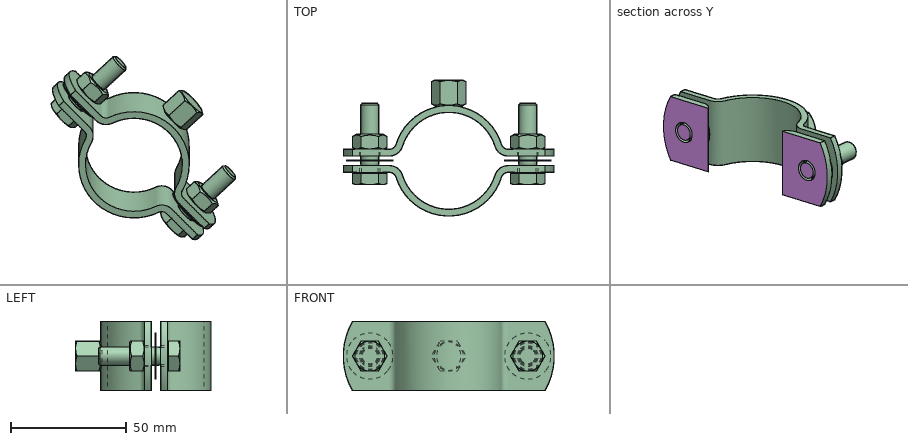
import cadquery as cq
import math

total_length = 91.5
strap_width = 30.0
strap_thickness = 3.0
ear_gap = 4.0
ring_outer_radius = 24.0
ring_inner_radius = ring_outer_radius - strap_thickness
ear_inner_y = ear_gap / 2
ear_outer_y = ear_inner_y + strap_thickness
ear_end_radius = strap_width

bend_inner_radius = 3.0
bend_outer_radius = bend_inner_radius + strap_thickness
bend_center_y = ear_outer_y + bend_inner_radius
bend_center_distance = ring_outer_radius + bend_inner_radius
bend_center_x = math.sqrt(bend_center_distance**2 - bend_center_y**2)

bolt_x = 34.2
bolt_hole_diameter = 9.0
bolt_diameter = 8.0
bolt_neck_diameter = 7.3
bolt_tip_diameter = 6.7
bolt_length = 30.0
bolt_tip_chamfer = 0.8
thread_start_y = -1.2
thread_runout = 1.1
head_height = 5.3
head_collar_diameter = 11.4
head_collar_height = 0.4

hex_across_flats = 13.0
hex_chamfer_angle = 30.0
hex_corner_clearance = 0.9
nut_height = 6.5
nut_bottom_diameter = 12.5
nut_top_diameter = 11.6
boss_top_y = 34.95
boss_top_diameter = 12.5
boss_base_y = 23.0
boss_base_diameter = 9.0

washer_diameter = 20.0
washer_thickness = 0.5
washer_start_y = 0.0


def cylinder_along_y(diameter, start_y, end_y):
    """Cylinder on the Y axis between two Y positions."""
    return cq.Workplane("XZ", origin=(0, start_y, 0)).circle(diameter / 2).extrude(start_y - end_y)


def hex_along_y(start_y, end_y, start_diameter=None, end_diameter=None):
    """Hexagon on the Y axis with corners pointing along X.

    A given end diameter is the circle left on that face by conical chamfering of the corners.
    """
    across_corners = hex_across_flats / math.cos(math.pi / 6)
    body = cq.Workplane("XZ", origin=(0, start_y, 0)).polygon(6, across_corners).extrude(start_y - end_y)
    corner_radius = across_corners / 2
    clear_radius = corner_radius + hex_corner_clearance
    envelope_radius = clear_radius + hex_corner_clearance
    slope = math.tan(math.radians(hex_chamfer_angle))
    start_radius = start_diameter / 2 if start_diameter else clear_radius
    end_radius = end_diameter / 2 if end_diameter else clear_radius
    envelope = (
        cq.Workplane("XY")
        .moveTo(0, start_y)
        .lineTo(start_radius, start_y)
        .lineTo(envelope_radius, start_y + slope * (envelope_radius - start_radius))
        .lineTo(envelope_radius, end_y - slope * (envelope_radius - end_radius))
        .lineTo(end_radius, end_y)
        .lineTo(0, end_y)
        .close()
        .revolve(360, (0, 0, 0), (0, 1, 0))
    )
    return body.intersect(envelope)


def strap_half():
    """Half ring with its two bent, rounded and drilled ears, on the +Y side."""
    bend_angle = math.atan2(bend_center_y, bend_center_x)
    bend_mid_angle = (bend_angle + math.pi / 2) / 2

    def ring_end(radius, side):
        return (side * radius * math.cos(bend_angle), radius * math.sin(bend_angle))

    def bend_mid(radius, side):
        x = bend_center_x - radius * math.cos(bend_mid_angle)
        return (side * x, bend_center_y - radius * math.sin(bend_mid_angle))

    half_length = total_length / 2
    blank_half_length = half_length + strap_thickness
    profile = (
        cq.Workplane("XY")
        .moveTo(-blank_half_length, ear_inner_y)
        .lineTo(-bend_center_x, ear_inner_y)
        .threePointArc(bend_mid(bend_outer_radius, -1), ring_end(ring_inner_radius, -1))
        .threePointArc((0, ring_inner_radius), ring_end(ring_inner_radius, 1))
        .threePointArc(bend_mid(bend_outer_radius, 1), (bend_center_x, ear_inner_y))
        .lineTo(blank_half_length, ear_inner_y)
        .lineTo(blank_half_length, ear_outer_y)
        .lineTo(bend_center_x, ear_outer_y)
        .threePointArc(bend_mid(bend_inner_radius, 1), ring_end(ring_outer_radius, 1))
        .threePointArc((0, ring_outer_radius), ring_end(ring_outer_radius, -1))
        .threePointArc(bend_mid(bend_inner_radius, -1), (-bend_center_x, ear_outer_y))
        .lineTo(-blank_half_length, ear_outer_y)
        .close()
        .extrude(strap_width / 2, both=True)
    )

    half_width = strap_width / 2
    corner_x = half_length - ear_end_radius + math.sqrt(ear_end_radius**2 - half_width**2)
    outline = (
        cq.Workplane("XZ")
        .moveTo(-corner_x, -half_width)
        .lineTo(corner_x, -half_width)
        .threePointArc((half_length, 0), (corner_x, half_width))
        .lineTo(-corner_x, half_width)
        .threePointArc((-half_length, 0), (-corner_x, -half_width))
        .close()
        .extrude(-2 * ring_outer_radius)
    )
    half = profile.intersect(outline)
    for x in (-bolt_x, bolt_x):
        half = half.cut(cylinder_along_y(bolt_hole_diameter, 0, 2 * ear_outer_y).translate((x, 0, 0)))
    return half


def bolt_assembly():
    """Bolt with head, nut and retaining washer, on the Y axis."""
    seat_y = -ear_outer_y
    tip_y = seat_y + bolt_length
    shank = (
        cq.Workplane("XY")
        .moveTo(0, seat_y)
        .lineTo(bolt_neck_diameter / 2, seat_y)
        .lineTo(bolt_neck_diameter / 2, thread_start_y - thread_runout)
        .lineTo(bolt_diameter / 2, thread_start_y)
        .lineTo(bolt_diameter / 2, tip_y - bolt_tip_chamfer)
        .lineTo(bolt_tip_diameter / 2, tip_y)
        .lineTo(0, tip_y)
        .close()
        .revolve(360, (0, 0, 0), (0, 1, 0))
    )
    collar_y = seat_y - head_collar_height
    collar = cylinder_along_y(head_collar_diameter, collar_y, seat_y)
    head = hex_along_y(seat_y - head_height, collar_y, start_diameter=hex_across_flats)
    nut = hex_along_y(ear_outer_y, ear_outer_y + nut_height, nut_bottom_diameter, nut_top_diameter)
    washer = cylinder_along_y(washer_diameter, washer_start_y, washer_start_y + washer_thickness)
    return shank.union(collar).union(head).union(nut).union(washer)


def boss():
    """Connection nut on the crown of the ring, kept clear of the bore."""
    return hex_along_y(boss_base_y, boss_top_y, boss_base_diameter, boss_top_diameter)


back_half = strap_half()
front_half = back_half.mirror("XZ")
result = back_half.union(front_half).union(boss())
for x in (-bolt_x, bolt_x):
    result = result.union(bolt_assembly().translate((x, 0, 0)))